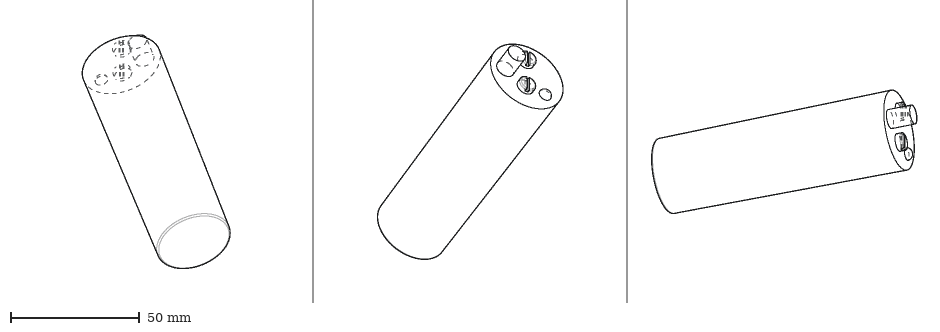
import cadquery as cq

total_length = 107.8
front_diameter = 31.8
rear_diameter = 29.9
rear_edge_radius = 0.6

pin_diameter = 7.5
pin_length = 9.8
pin_y = 9.5

screw_diameter = 7.0
screw_height = 2.6
screw_edge_radius = 0.5
slot_width = 1.3
slot_depth = 1.3
screw_centers = [(0.5, 7.8), (0.8, -5.9)]

dome_diameter = 5.2
dome_height = 2.3
dome_center = (-8.0, -6.5)

front_x = -total_length / 2 + pin_length
body_length = total_length - pin_length
rear_x = front_x + body_length


def tapered_body():
    """Solid round body, narrowing toward a rounded rear edge."""
    profile = (
        cq.Workplane("XY")
        .moveTo(front_x, 0)
        .lineTo(front_x, front_diameter / 2)
        .lineTo(rear_x, rear_diameter / 2)
        .lineTo(rear_x, 0)
        .close()
    )
    body = profile.revolve(360, (0, 0, 0), (1, 0, 0))
    return body.faces(">X").edges().fillet(rear_edge_radius)


def front_cylinder(diameter, height, y, z):
    """Cylinder standing on the front face and pointing toward -X."""
    return (
        cq.Workplane("YZ", origin=(front_x, y, z))
        .circle(diameter / 2)
        .extrude(-height)
    )


def slotted_screw(y, z):
    """Screw head with a rounded rim and an upright driver slot."""
    head = front_cylinder(screw_diameter, screw_height, y, z)
    head = head.faces("<X").edges().fillet(screw_edge_radius)
    slot_x = front_x - screw_height + slot_depth / 2
    slot = cq.Workplane("XY").box(slot_depth, slot_width, screw_diameter)
    return head.cut(slot.translate((slot_x, y, z)))


def dome(y, z):
    """Spherical cap on the front face."""
    base_radius = dome_diameter / 2
    sphere_radius = (base_radius**2 + dome_height**2) / (2 * dome_height)
    sphere_x = front_x - dome_height + sphere_radius
    return cq.Workplane("XY").sphere(sphere_radius).translate((sphere_x, y, z))


result = tapered_body()
result = result.union(front_cylinder(pin_diameter, pin_length, pin_y, 0))
for screw_y, screw_z in screw_centers:
    result = result.union(slotted_screw(screw_y, screw_z))
result = result.union(dome(*dome_center))